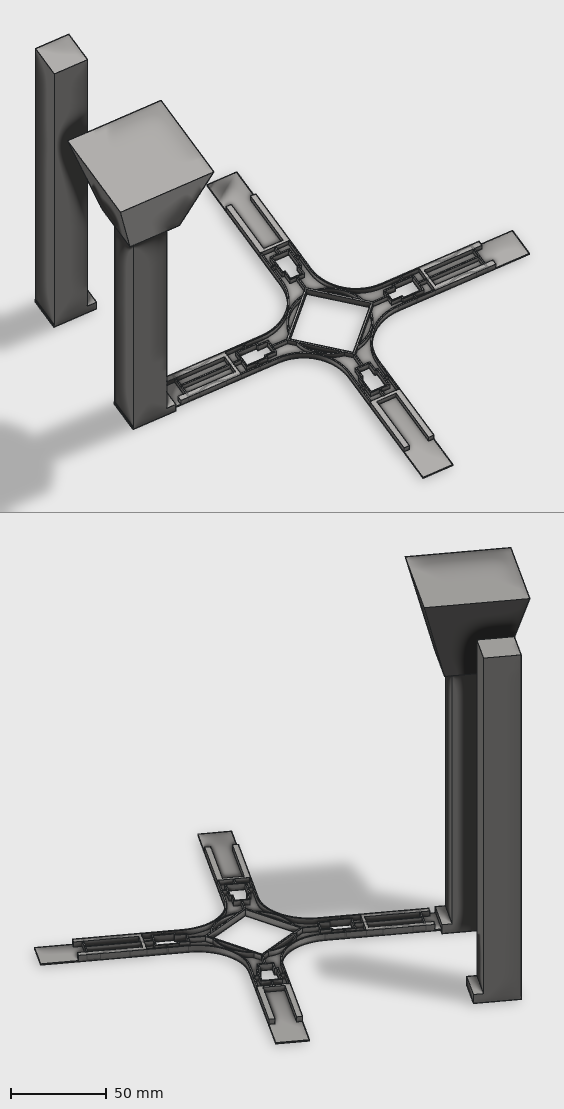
import cadquery as cq
import math

floor_thickness = 0.8
frame_height = 3.8
wall = 0.8

arm_width = 18.0
short_arm_reach = 58.1
long_arm_reach = 90.0
corner_radius = 27.1
diamond_half_diagonal = 24.5
diamond_wall = 1.08
ring_outer_radius = 22.5
notch_reach = 75.0
notch_depth = 2.0
notch_radius = 16.5
cross_rib_reach = 47.0

window_inner_reach = 35.3
window_step_reach = 41.2
window_outer_reach = 52.5
window_narrow_width = 7.2
window_wide_width = 10.0

cross_span = 229.2
tray_end_reach = cross_span / 2
rail_end_reach = 94.5
pocket_start_reach = 60.0
pocket_width = 11.5

column_side = 20.0
post_height = 205.5
foot_length = 5.5
foot_height = 5.5
ledge_length = 0.3
ledge_height = 1.8
post_x = -80.0
post_y = -115.8
tower_y = -113.5
tower_drop = 1.5

funnel_top_side = 56.0
funnel_bottom_side = 29.7
funnel_height = 49.5

half_arm = arm_width / 2
quarter_turns = [0, 90, 180, 270]
long_arm_turns = [90, 270]
short_arm_turns = [0, 180]


def box(x_min, x_max, y_min, y_max, z_min, z_max):
    return (
        cq.Workplane("XY")
        .box(x_max - x_min, y_max - y_min, z_max - z_min, centered=False)
        .translate((x_min, y_min, z_min))
    )


def arm_box(start, end, width, z_min, z_max):
    """Box along the +X arm, centred on the arm's axis."""
    return box(start, end, -width / 2, width / 2, z_min, z_max)


def turned(shape, angle):
    return shape.rotate((0, 0, 0), (0, 0, 1), angle)


def fuse(base, parts):
    """Union that keeps the edges where flush faces of the parts meet."""
    for part in parts:
        base = base.union(part, clean=False)
    return base


def diamond(half_diagonal):
    corners = [(half_diagonal, 0), (0, half_diagonal), (-half_diagonal, 0), (0, -half_diagonal)]
    return cq.Workplane("XY").polyline(corners).close().extrude(frame_height)


def window(margin):
    """Stepped window of the +X arm, grown by a margin on every side."""
    narrow = arm_box(
        window_inner_reach - margin, window_outer_reach + margin,
        window_narrow_width + 2 * margin, 0, frame_height,
    )
    wide = arm_box(
        window_step_reach - margin, window_outer_reach + margin,
        window_wide_width + 2 * margin, 0, frame_height,
    )
    return narrow.union(wide)


def hub_outline(inset, z_min, z_max):
    """Cross with rounded inner corners and side notches, drawn in by an inset."""
    half = half_arm - inset
    long_reach = long_arm_reach - inset
    radius = corner_radius + inset
    corner_centre = half_arm + corner_radius
    notch_centre = half_arm - notch_depth + notch_radius
    height = z_max - z_min

    short_arms = box(-short_arm_reach, short_arm_reach, -half, half, z_min, z_max)
    long_arms = box(-half, half, -long_reach, long_reach, z_min, z_max)
    centre = box(-corner_centre, corner_centre, -corner_centre, corner_centre, z_min, z_max)
    corner_discs = (
        cq.Workplane("XY", origin=(0, 0, z_min))
        .rect(2 * corner_centre, 2 * corner_centre, forConstruction=True)
        .vertices()
        .circle(radius)
        .extrude(height)
    )
    notch_discs = (
        cq.Workplane("XY", origin=(0, 0, z_min))
        .rect(2 * notch_centre, 2 * notch_reach, forConstruction=True)
        .vertices()
        .circle(notch_radius + inset)
        .extrude(height)
    )
    return centre.cut(corner_discs).union(short_arms).union(long_arms).cut(notch_discs)


def make_tray():
    """Open-ended pocket tray with a flat tongue, on the +X arm."""
    tongue = arm_box(short_arm_reach, tray_end_reach, arm_width, 0, floor_thickness)
    block = arm_box(short_arm_reach, rail_end_reach, arm_width, 0, frame_height)
    pocket = arm_box(pocket_start_reach, rail_end_reach, pocket_width, floor_thickness, frame_height)
    return tongue.union(block).cut(pocket)


def make_hub():
    """Thin floor with upright walls and ribs; the long arms carry their own trays."""
    hub = hub_outline(0, 0, floor_thickness)
    above_floor = hub_outline(0, floor_thickness, frame_height)
    side_wall = above_floor.cut(hub_outline(wall, floor_thickness, frame_height))

    ring = (
        cq.Workplane("XY")
        .circle(ring_outer_radius)
        .circle(ring_outer_radius - wall)
        .extrude(frame_height)
    )
    diamond_outer = diamond(diamond_half_diagonal + diamond_wall * math.sqrt(2))
    walls = [side_wall, ring.intersect(above_floor), diamond_outer.intersect(above_floor)]
    for angle in quarter_turns:
        reach = long_arm_reach if angle in long_arm_turns else short_arm_reach
        centre_rib = arm_box(diamond_half_diagonal, reach, wall, floor_thickness, frame_height)
        cross_rib = arm_box(
            cross_rib_reach - wall / 2, cross_rib_reach + wall / 2, arm_width,
            floor_thickness, frame_height,
        )
        for part in (centre_rib, cross_rib, window(wall)):
            walls.append(turned(part, angle).intersect(above_floor))

    hub = fuse(hub, walls)
    hub = fuse(hub, [turned(make_tray(), angle) for angle in long_arm_turns])
    hub = hub.cut(diamond(diamond_half_diagonal), clean=False)
    for angle in quarter_turns:
        hub = hub.cut(turned(window(0), angle), clean=False)
    return hub


def make_column(height):
    """Square column on the origin with a foot toward +Y and a low ledge toward -Y."""
    half = column_side / 2
    shaft = box(-half, half, -half, half, 0, height)
    foot = box(-half, half, half, half + foot_length, 0, foot_height)
    ledge = box(-half, half, -half - ledge_length, -half, 0, ledge_height)
    return shaft.union(foot).union(ledge)


def make_post():
    return make_column(post_height).translate((post_x, post_y, 0))


def make_tower():
    """Column under the funnel, slotted at z = 0 for the tongue of the -Y arm."""
    column = make_column(post_height - funnel_height).translate((0, tower_y, -tower_drop))
    tongue_slot = box(-half_arm, half_arm, -tray_end_reach, -rail_end_reach, 0, floor_thickness)
    return column.cut(tongue_slot)


def make_funnel():
    """Solid square head that widens upward from the top of the tower."""
    return (
        cq.Workplane("XY", origin=(0, tower_y, post_height - funnel_height - tower_drop))
        .rect(funnel_bottom_side, funnel_bottom_side)
        .workplane(offset=funnel_height)
        .rect(funnel_top_side, funnel_top_side)
        .loft()
    )


hub = make_hub()
trays = [turned(make_tray(), angle) for angle in short_arm_turns]
post = make_post()
tower = make_tower()
funnel = make_funnel()

result = cq.Compound.makeCompound(
    [hub.val(), *[tray.val() for tray in trays], post.val(), tower.val(), funnel.val()]
)